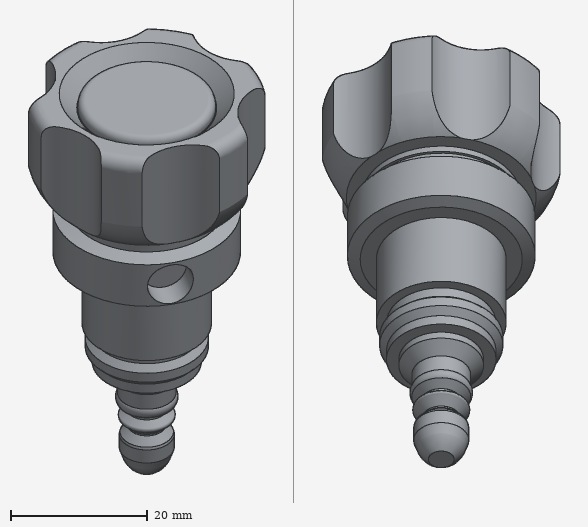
import cadquery as cq

total_height = 67.6

knob_radius = 17.5
knob_bottom = 50.25
knob_belly = 56.1
knob_bottom_radius = 13.9
belly_mid_radius = 16.35
belly_mid_height = 53.2
knob_top_round = 1.9

scallop_count = 6
scallop_turn = 2.6
scallop_root = 13.85
scallop_radius = 8.1

dish_radius = 12.85
dish_floor_radius = 10.3
dish_depth = dish_radius - dish_floor_radius
button_radius = 10.15
button_top = 66.65
button_round = 1.15

collar_radius = 13.8
collar_bottom = 38.4
collar_top = 47.25
collar_chamfer_height = 0.7
collar_bottom_radius = 11.9
collar_hole_diameter = 6.95
collar_hole_height = 42.7

neck_radius = 11.5
neck_ring_radius = 11.75
neck_groove_radius = 11.35
neck_shoulder = 48.6
neck_ring_bottom = 49.2

shank_radius = 9.5
shank_bottom = 26.15

seat_radius = 8.05
seat_bottom = 19.2
bead_radius = 9.05
bead_start = 20.8
bead_bottom = 21.9
bead_top = 23.5
bead_end = 24.55

step_radius = 6.2
step_bottom = 18.05
stem_radius = 4.3
stem_top = 16.2

barb_radius = 4.6
barb_top = 13.6
barb_crown = 12.85
barb_shoulder_radius = 4.3
barb_shoulder = 12.05
barb_waist_radius = 3.0
barb_waist_top = 11.1
barb_waist_bottom = 10.7
ridge_radius = 4.2
ridge_shoulder_radius = 4.0
ridge_top = 9.9
ridge_crown = 9.5
ridge_bottom = 9.1
throat_radius = 2.8
throat_top = 7.9
throat_bottom = 7.65

tip_radius = 4.05
tip_top = 6.0
tip_chamfer_radius = 3.9
tip_chamfer_top = 6.4
tip_cone_top = 3.65
tip_cone_radius = 3.5
tip_cone_bottom = 2.0
tip_nose_radius = 2.85
tip_nose_height = 0.9
tip_end_radius = 1.9


def make_knob():
    """Curved-bottom knob blank with six scallops cut down its wall."""
    knob = (
        cq.Workplane("XZ")
        .moveTo(0, knob_bottom)
        .lineTo(knob_bottom_radius, knob_bottom)
        .threePointArc((belly_mid_radius, belly_mid_height), (knob_radius, knob_belly))
        .lineTo(knob_radius, total_height)
        .lineTo(0, total_height)
        .close()
        .revolve(360, (0, 0, 0), (0, 1, 0))
        .faces(">Z")
        .edges()
        .fillet(knob_top_round)
    )
    scallop = make_scallop()
    for i in range(scallop_count):
        angle = scallop_turn + i * 360 / scallop_count
        knob = knob.cut(scallop.rotate((0, 0, 0), (0, 0, 1), angle))
    return knob.cut(make_dish()).union(make_button())


def make_scallop():
    """Upright cylindrical cutter outside the +X side of the knob."""
    return (
        cq.Workplane("XY", origin=(scallop_root + scallop_radius, 0, knob_bottom))
        .circle(scallop_radius)
        .extrude(total_height - knob_bottom)
    )


def make_dish():
    """Conical recess cut into the top of the knob."""
    return (
        cq.Workplane("XY", origin=(0, 0, total_height - dish_depth))
        .circle(dish_floor_radius)
        .workplane(offset=dish_depth)
        .circle(dish_radius)
        .loft(ruled=True)
    )


def make_button():
    """Rounded disc that rises from the floor of the dish."""
    return (
        cq.Workplane("XY", origin=(0, 0, knob_belly))
        .circle(button_radius)
        .extrude(button_top - knob_belly)
        .faces(">Z")
        .edges()
        .fillet(button_round)
    )


def make_body():
    """Everything below the knob, revolved from one stepped half profile."""
    return (
        cq.Workplane("XZ")
        .moveTo(0, 0)
        .lineTo(tip_end_radius, 0)
        .threePointArc((tip_nose_radius, tip_nose_height), (tip_cone_radius, tip_cone_bottom))
        .lineTo(tip_radius, tip_cone_top)
        .lineTo(tip_radius, tip_top)
        .lineTo(tip_chamfer_radius, tip_chamfer_top)
        .lineTo(throat_radius, throat_bottom)
        .lineTo(throat_radius, throat_top)
        .lineTo(ridge_shoulder_radius, ridge_bottom)
        .threePointArc((ridge_radius, ridge_crown), (ridge_shoulder_radius, ridge_top))
        .lineTo(barb_waist_radius, barb_waist_bottom)
        .lineTo(barb_waist_radius, barb_waist_top)
        .lineTo(barb_shoulder_radius, barb_shoulder)
        .threePointArc((barb_radius, barb_crown), (stem_radius, barb_top))
        .lineTo(stem_radius, stem_top)
        .lineTo(step_radius, step_bottom)
        .lineTo(step_radius, seat_bottom)
        .lineTo(seat_radius, seat_bottom)
        .lineTo(seat_radius, bead_start)
        .lineTo(bead_radius, bead_bottom)
        .lineTo(bead_radius, bead_top)
        .lineTo(seat_radius, bead_end)
        .lineTo(seat_radius, shank_bottom)
        .lineTo(shank_radius, shank_bottom)
        .lineTo(shank_radius, collar_bottom)
        .lineTo(collar_bottom_radius, collar_bottom)
        .lineTo(collar_radius, collar_bottom + collar_chamfer_height)
        .lineTo(collar_radius, collar_top - collar_chamfer_height)
        .lineTo(neck_radius, collar_top)
        .lineTo(neck_radius, neck_shoulder)
        .lineTo(neck_groove_radius, neck_ring_bottom)
        .lineTo(neck_ring_radius, neck_ring_bottom)
        .lineTo(neck_ring_radius, knob_bottom)
        .lineTo(0, knob_bottom)
        .close()
        .revolve(360, (0, 0, 0), (0, 1, 0))
    )


def make_collar_hole():
    """Blind radial hole in the collar, reaching in to the shank radius."""
    return (
        cq.Workplane("YZ", origin=(shank_radius, 0, collar_hole_height))
        .circle(collar_hole_diameter / 2)
        .extrude(collar_radius - shank_radius)
    )


result = make_body().cut(make_collar_hole()).union(make_knob())